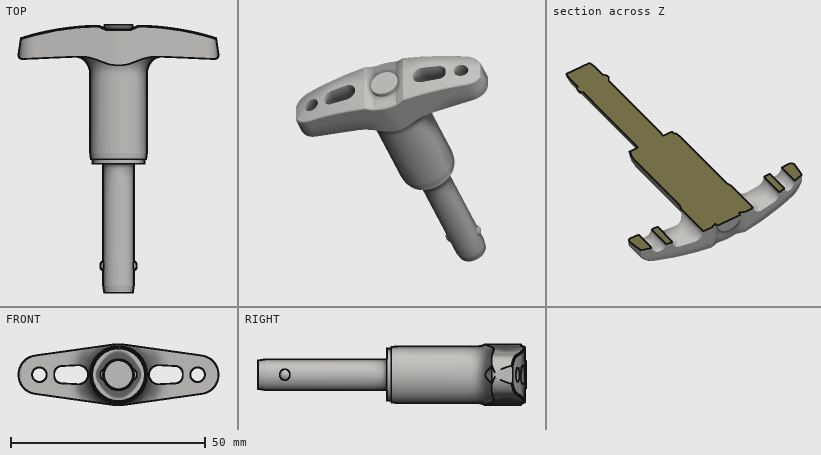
import cadquery as cq
import math


overall_length = 69.0
head_height = 35.8
tip_y = head_height - overall_length

shank_radius = 4.0
tip_radius = 3.7
tip_taper_length = 1.95

ball_radius = 1.5
ball_reach = 4.75
ball_tip_distance = 6.95

sleeve_radius = 7.35
collar_radius = 6.75
collar_length = 1.1
sleeve_taper_radius = 7.15
sleeve_taper_length = 1.7

button_radius = 3.7
button_edge_radius = 0.4

handle_length = 51.5
handle_width = 15.79
end_radius = 5.0
waist_radius = 8.5

crown_drop = 0.25
crown_start = 5.2
crown_middle = 15.8
crown_middle_drop = 1.23
crown_end_drop = 3.5
end_draft_angle = math.radians(8.5)
dip_drop = 1.2
dip_half_width = 3.0
underside_end_drop = 8.9
underside_end_radius = 24.9
end_edge_radius = 1.1
top_edge_chamfer = 0.25

flare_radius = 4.25
flare_start_drop = 12.5
flare_start = head_height - flare_start_drop
flare_outer_radius = sleeve_radius + flare_radius
flare_top = flare_start + flare_radius
flare_overlap = 1.0

hole_diameter = 3.7
hole_x = 20.35
slot_inner_x = 7.85
slot_outer_x = 16.5
slot_outer_half_width = 2.1
slot_inner_radius = 2.42
slot_outer_corner_radius = 1.9

half_length = handle_length / 2
half_width = handle_width / 2


def handle_plan():
    """Plan outline: two round ends and two round waists joined by tangent lines."""
    end_center = half_length - end_radius
    waist_center = half_width - waist_radius
    center_distance = math.hypot(end_center, waist_center)
    center_angle = math.atan2(end_center, waist_center)
    slope = math.acos((end_radius - waist_radius) / center_distance) - center_angle
    waist_x = waist_radius * math.sin(slope)
    waist_z = waist_center + waist_radius * math.cos(slope)
    end_x = end_center + end_radius * math.sin(slope)
    end_z = end_radius * math.cos(slope)
    return (
        cq.Workplane("XZ")
        .moveTo(-waist_x, waist_z)
        .threePointArc((0, half_width), (waist_x, waist_z))
        .lineTo(end_x, end_z)
        .threePointArc((half_length, 0), (end_x, -end_z))
        .lineTo(waist_x, -waist_z)
        .threePointArc((0, -half_width), (-waist_x, -waist_z))
        .lineTo(-end_x, -end_z)
        .threePointArc((-half_length, 0), (-end_x, end_z))
        .close()
        .extrude(-head_height)
    )


def handle_profile():
    """Side profile: crowned top with a central dip, drafted ends with rounded lower edges."""
    crown_y = head_height - crown_drop
    crown_middle_y = head_height - crown_middle_drop
    crown_end_y = head_height - crown_end_drop
    underside_y = head_height - underside_end_drop
    dip_y = head_height - dip_drop
    rounding_loss = end_edge_radius * (math.tan(end_draft_angle) + 1 / math.cos(end_draft_angle) - 1)
    corner_x = half_length + rounding_loss
    crown_end_x = corner_x - (crown_end_y - underside_y) * math.tan(end_draft_angle)
    return (
        cq.Workplane("XY")
        .moveTo(-dip_half_width, dip_y)
        .lineTo(dip_half_width, dip_y)
        .lineTo(crown_start, crown_y)
        .threePointArc((crown_middle, crown_middle_y), (crown_end_x, crown_end_y))
        .lineTo(corner_x, underside_y)
        .lineTo(-corner_x, underside_y)
        .lineTo(-crown_end_x, crown_end_y)
        .threePointArc((-crown_middle, crown_middle_y), (-crown_start, crown_y))
        .close()
        .extrude(half_width, both=True)
        .edges("|Z and <Y")
        .fillet(end_edge_radius)
    )


def underside_relief():
    """Shallow cone under the handle, rising from the arm ends to the flare."""
    end_y = head_height - underside_end_drop
    return (
        cq.Workplane("XY")
        .moveTo(0, end_y)
        .lineTo(underside_end_radius, end_y)
        .lineTo(flare_outer_radius, flare_top)
        .lineTo(0, flare_top)
        .close()
        .revolve(360, (0, 0), (0, 1))
    )


def flare():
    """Concave round skirt between the sleeve and the underside of the handle."""
    mid_offset = flare_radius * math.cos(math.radians(45))
    arc_middle = (flare_outer_radius - mid_offset, flare_start + mid_offset)
    embedded_top = flare_top + flare_overlap
    return (
        cq.Workplane("XY")
        .moveTo(0, flare_start)
        .lineTo(sleeve_radius, flare_start)
        .threePointArc(arc_middle, (flare_outer_radius, flare_top))
        .lineTo(flare_outer_radius, embedded_top)
        .lineTo(0, embedded_top)
        .close()
        .revolve(360, (0, 0), (0, 1))
    )


def handle_openings():
    """A round hole and a tapered slot in each arm, running through along Y."""
    inner_center_x = slot_inner_x + slot_inner_radius
    slot = (
        cq.Workplane("XZ")
        .moveTo(inner_center_x, slot_inner_radius)
        .lineTo(slot_outer_x, slot_outer_half_width)
        .lineTo(slot_outer_x, -slot_outer_half_width)
        .lineTo(inner_center_x, -slot_inner_radius)
        .threePointArc((slot_inner_x, 0), (inner_center_x, slot_inner_radius))
        .close()
        .extrude(-head_height)
        .edges("|Y and >X")
        .fillet(slot_outer_corner_radius)
    )
    hole = cq.Workplane("XZ").center(hole_x, 0).circle(hole_diameter / 2).extrude(-head_height)
    arm_openings = slot.union(hole)
    return arm_openings.union(arm_openings.mirror("YZ"))


def faces_up(face):
    """True for the faces of the handle's top: crown, dip ramps and dip floor."""
    return face.normalAt().y > math.cos(math.radians(45))


def handle():
    """T-shaped bar with a chamfered top, a relieved underside and the sleeve's flare."""
    plan = handle_plan()
    bar = plan.intersect(handle_profile())
    bar = bar.faces().filter(faces_up).edges("not |Z").chamfer(top_edge_chamfer)
    skirt = flare().intersect(plan)
    return bar.cut(underside_relief()).union(skirt).cut(handle_openings())


def turned_body():
    """Shank, collar and sleeve, turned about the pin axis."""
    outline = [
        (0, tip_y),
        (tip_radius, tip_y),
        (shank_radius, tip_y + tip_taper_length),
        (shank_radius, 0),
        (collar_radius, 0),
        (collar_radius, collar_length),
        (sleeve_taper_radius, collar_length),
        (sleeve_radius, collar_length + sleeve_taper_length),
        (sleeve_radius, flare_start),
        (0, flare_start),
    ]
    return cq.Workplane("XY").polyline(outline).close().revolve(360, (0, 0), (0, 1))


def button():
    """Push button with a rounded rim, seated in the dip of the handle."""
    button_length = head_height - flare_top
    face_plane = cq.Workplane("XZ", origin=(0, head_height, 0))
    cylinder = face_plane.circle(button_radius).extrude(button_length)
    return cylinder.faces(">Y").edges().fillet(button_edge_radius)


def locking_balls():
    """Two balls that bulge out of opposite sides of the shank near its tip."""
    ball_x = ball_reach - ball_radius
    ball_y = tip_y + ball_tip_distance
    centers = [(ball_x, ball_y), (-ball_x, ball_y)]
    return cq.Workplane("XY").pushPoints(centers).sphere(ball_radius)


result = handle().union(turned_body()).union(button()).union(locking_balls())